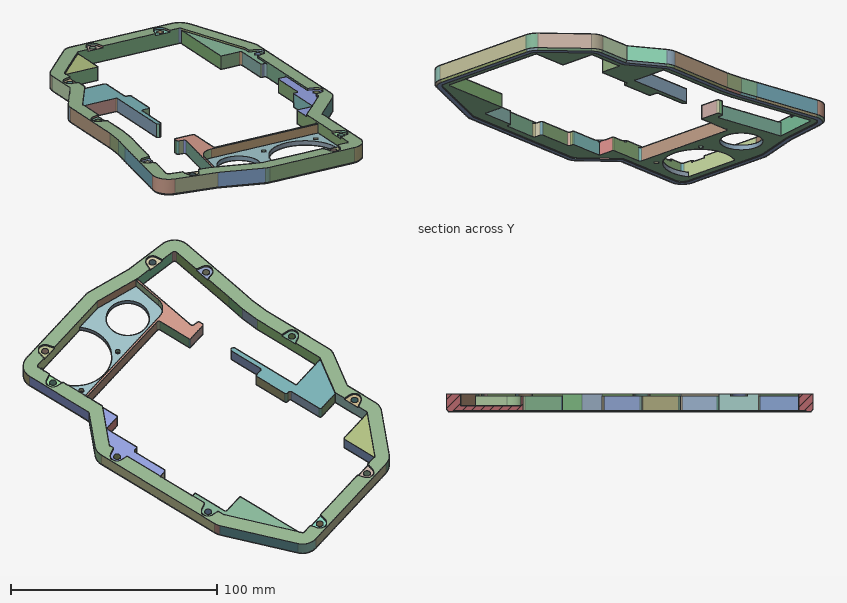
import cadquery as cq
import math

LENGTH = 177.85
WIDTH = 126.75
HEIGHT = 8.7

RIM_WIDTH = 7.0
CORNER_RADIUS = 8.0
BOTTOM_CHAMFER = 1.0
UNDERSIDE_RELIEF = 0.6
LIP_WIDTH = RIM_WIDTH / 2
TILT = math.radians(9.8)

LEFT_LOW_Y = 44.6
LEFT_HIGH_Y = 110.1
LOW_LEFT_X = 23.2
LOW_LEFT_Y = 21.4
STEP_X = 43.4
LOWER_X = 62.0
LOWER_Y = 9.0
BEND_START_X = 101.86
BEND_STEP = 9.19
BEND_FIRST_DROP = 0.85
TOP_LEFT_X = 43.3
TOP_RIGHT_X = 116.8
SHOULDER_X = 133.8
SHOULDER_Y = 109.75
RIGHT_LOW_Y = 52.7
ELBOW_Y = 29.1

INNER_LEFT = RIM_WIDTH
INNER_TOP = WIDTH - RIM_WIDTH
INNER_SHOULDER = SHOULDER_Y - RIM_WIDTH

LEDGE_DROP = 1.0
LEDGE_Z = HEIGHT - LEDGE_DROP
COLUMN_PITCH = 19.1
STEP_SHIFT = 0.4
INNER_RADIUS = 1.0
OUTER_RADIUS = 0.5

TOP_LEFT_LEDGE_Y = 105.6
TOP_STRIP_Y = 117.05
TOP_SHELF_Y = 114.8
TOP_SHELF_LOW_Y = 111.9
LOW_LEFT_LEDGE_Y = 47.6
LOW_LEDGE_Y = 40.1
LOW_LEDGE_HIGH_Y = 42.9
TONGUE_TOP_Y = 38.0
TONGUE_THICKNESS = 2.5
TONGUE_BEVEL = 1.1
HOOK_TOP_Y = 44.6
HOOK_BOTTOM_Y = 33.3
HOOK_INSIDE_X = 125.6
HOOK_INSIDE_Y = 37.4

FLOOR_Z = 3.0
RECESS_WALL = 1.05
RECESS_CORNER_RADIUS = 8.0
LARGE_HOLE_DIAMETER = 35.4
LARGE_HOLE_CENTRE = (162.0, 83.4)
SMALL_HOLE_DIAMETER = 21.0
SMALL_HOLE_CENTRE = (155.6, 49.6)
PIN_HOLE_DIAMETER = 2.4
PIN_HOLE_OFFSET = 14.7

SCREW_HOLE_DIAMETER = 3.3
SCREW_HOLE_DEPTH = 5.0
SCREW_INSET = 4.35
SEAT_RADIUS = 3.3
SEAT_FLARE = math.radians(15)
SEAT_REACH = RIM_WIDTH - SCREW_INSET

TIP_RADIUS = 8.5
TIP_X = 165.1
TIP_Y = TIP_RADIUS * (1 - math.cos(TILT) - math.sin(TILT))


def column(count):
    """X of the grid line `count` columns from the inner left edge."""
    return INNER_LEFT + count * COLUMN_PITCH


def toward(start, end, distance):
    """Point at `distance` from start on the line to end."""
    length = math.dist(start, end)
    return tuple(s + (e - s) * distance / length for s, e in zip(start, end))


def rounded_outline(corners):
    """Closed wire through (x, y, radius) corners; radius 0 leaves a corner sharp."""
    wire = None
    for index, (x, y, radius) in enumerate(corners):
        corner = (x, y)
        before = corners[index - 1][:2]
        after = corners[(index + 1) % len(corners)][:2]
        angle_in = math.atan2(y - before[1], x - before[0])
        angle_out = math.atan2(after[1] - y, after[0] - x)
        turn = math.remainder(angle_out - angle_in, 2 * math.pi)
        setback = radius * math.tan(abs(turn) / 2)
        start = toward(corner, before, setback)
        end = toward(corner, after, setback)
        wire = wire.lineTo(*start) if wire else cq.Workplane("XY").moveTo(*start)
        if radius:
            middle = ((start[0] + end[0]) / 2, (start[1] + end[1]) / 2)
            bulge = radius / math.cos(turn / 2) - radius
            wire = wire.threePointArc(toward(corner, middle, bulge), end)
    return wire.close()


def rim_outline():
    bend_middle_x = BEND_START_X + BEND_STEP
    bend_end_x = bend_middle_x + BEND_STEP
    bend_end_y = TIP_Y + (TIP_X - bend_end_x) * math.tan(TILT)
    elbow_x = TIP_X + (ELBOW_Y - TIP_Y) * math.tan(TILT)
    return rounded_outline([
        (0, LEFT_LOW_Y, CORNER_RADIUS),
        (LOW_LEFT_X, LOW_LEFT_Y, CORNER_RADIUS),
        (STEP_X, LOW_LEFT_Y, 0),
        (LOWER_X, LOWER_Y, CORNER_RADIUS),
        (BEND_START_X, LOWER_Y, 0),
        (bend_middle_x, LOWER_Y - BEND_FIRST_DROP, 0),
        (bend_end_x, bend_end_y, 0),
        (TIP_X, TIP_Y, TIP_RADIUS),
        (elbow_x, ELBOW_Y, 0),
        (LENGTH, RIGHT_LOW_Y, CORNER_RADIUS),
        (LENGTH, SHOULDER_Y, CORNER_RADIUS),
        (SHOULDER_X, SHOULDER_Y, 0),
        (TOP_RIGHT_X, WIDTH, CORNER_RADIUS),
        (TOP_LEFT_X, WIDTH, CORNER_RADIUS),
        (0, LEFT_HIGH_Y, CORNER_RADIUS),
    ])


def inside_rim(margin=RIM_WIDTH):
    """Full-height block filling the space that lies `margin` inside the outer edge."""
    return rim_outline().offset2D(-margin, "intersection").extrude(HEIGHT)


def hook_edge_y(x):
    """Y of the tilted lower edge of the right hand ledge."""
    return HOOK_INSIDE_Y - (x - HOOK_INSIDE_X) * math.tan(TILT)


def window():
    """Through opening that leaves the ledges; it runs under the rim where it meets it."""
    hook_tip_x = HOOK_INSIDE_X - (HOOK_INSIDE_Y - HOOK_BOTTOM_Y) * math.tan(TILT)
    tongue_bottom_y = TONGUE_TOP_Y - TONGUE_THICKNESS
    tongue_shoulder_x = column(5) - TONGUE_BEVEL
    outline = rounded_outline([
        (0, TOP_LEFT_LEDGE_Y, 0),
        (column(2), TOP_LEFT_LEDGE_Y, 0),
        (column(2), TOP_STRIP_Y, INNER_RADIUS),
        (column(3) - STEP_SHIFT, TOP_STRIP_Y, OUTER_RADIUS),
        (column(3) - STEP_SHIFT, INNER_TOP, INNER_RADIUS),
        (column(4), INNER_TOP, INNER_RADIUS),
        (column(4), TOP_SHELF_Y, INNER_RADIUS),
        (column(5) + STEP_SHIFT, TOP_SHELF_Y, INNER_RADIUS),
        (column(5) + STEP_SHIFT, TOP_SHELF_LOW_Y, OUTER_RADIUS),
        (column(6), TOP_SHELF_LOW_Y, 0),
        (column(6), INNER_SHOULDER, OUTER_RADIUS),
        (column(7), INNER_SHOULDER, INNER_RADIUS),
        (column(7), HOOK_TOP_Y, INNER_RADIUS),
        (column(6), HOOK_TOP_Y, OUTER_RADIUS),
        (column(6), HOOK_BOTTOM_Y, INNER_RADIUS),
        (hook_tip_x, HOOK_BOTTOM_Y, INNER_RADIUS),
        (HOOK_INSIDE_X, HOOK_INSIDE_Y, INNER_RADIUS),
        (LENGTH, hook_edge_y(LENGTH), 0),
        (LENGTH, TIP_Y, 0),
        (column(3) - STEP_SHIFT, TIP_Y, 0),
        (column(3) - STEP_SHIFT, tongue_bottom_y, OUTER_RADIUS),
        (tongue_shoulder_x, tongue_bottom_y, 0),
        (column(5), tongue_bottom_y + TONGUE_BEVEL, 0),
        (column(5), TONGUE_TOP_Y - TONGUE_BEVEL, 0),
        (tongue_shoulder_x, TONGUE_TOP_Y, 0),
        (column(4) - STEP_SHIFT, TONGUE_TOP_Y, INNER_RADIUS),
        (column(4) - STEP_SHIFT, LOW_LEDGE_HIGH_Y, OUTER_RADIUS),
        (column(3), LOW_LEDGE_HIGH_Y, INNER_RADIUS),
        (column(3), LOW_LEDGE_Y, INNER_RADIUS),
        (column(2) + STEP_SHIFT, LOW_LEDGE_Y, INNER_RADIUS),
        (column(2) + STEP_SHIFT, LOW_LEFT_Y, 0),
        (column(1), LOW_LEFT_Y, 0),
        (column(1), LOW_LEFT_LEDGE_Y, OUTER_RADIUS),
        (0, LOW_LEFT_LEDGE_Y, 0),
    ])
    return outline.extrude(HEIGHT).intersect(inside_rim())


def recess():
    """Pocket in the right hand ledge, bounded by the rim and two thin walls."""
    left = column(7) + RECESS_WALL
    wall_rise = RECESS_WALL / math.cos(TILT)
    outline = rounded_outline([
        (left, WIDTH, 0),
        (left, hook_edge_y(left) + wall_rise, RECESS_CORNER_RADIUS),
        (LENGTH, hook_edge_y(LENGTH) + wall_rise, 0),
        (LENGTH, WIDTH, 0),
    ])
    return outline.extrude(HEIGHT).intersect(inside_rim()).translate((0, 0, FLOOR_Z))


def floor_holes():
    centre_x, centre_y = LARGE_HOLE_CENTRE
    pin_x = centre_x - PIN_HOLE_OFFSET
    pins = [(pin_x, centre_y + PIN_HOLE_OFFSET), (pin_x, centre_y - PIN_HOLE_OFFSET)]
    plane = cq.Workplane("XY")
    holes = plane.pushPoints([LARGE_HOLE_CENTRE]).circle(LARGE_HOLE_DIAMETER / 2).extrude(FLOOR_Z)
    holes = holes.union(plane.pushPoints([SMALL_HOLE_CENTRE]).circle(SMALL_HOLE_DIAMETER / 2).extrude(FLOOR_Z))
    holes = holes.union(plane.pushPoints(pins).circle(PIN_HOLE_DIAMETER / 2).extrude(FLOOR_Z))
    return holes.intersect(inside_rim())


def screw_seat():
    """Seat and screw hole at the origin of the top face, opening toward -Y."""
    tangent_x = SEAT_RADIUS * math.cos(SEAT_FLARE)
    tangent_y = SEAT_RADIUS * math.sin(SEAT_FLARE)
    mouth_x = tangent_x + (SEAT_REACH + tangent_y) * math.tan(SEAT_FLARE)
    seat = (
        cq.Workplane("XY")
        .moveTo(-mouth_x, -SEAT_REACH)
        .lineTo(mouth_x, -SEAT_REACH)
        .lineTo(tangent_x, tangent_y)
        .threePointArc((0, SEAT_RADIUS), (-tangent_x, tangent_y))
        .close()
        .extrude(LEDGE_DROP)
    )
    hole = cq.Workplane("XY").circle(SCREW_HOLE_DIAMETER / 2).extrude(-SCREW_HOLE_DEPTH)
    return seat.union(hole)


def screw_places():
    """Edge point of every screw and the outward direction of that edge in degrees."""
    tilt = math.degrees(TILT)
    along_low = 26.5
    along_right = 19.2
    low_x = TIP_X - along_low * math.cos(TILT)
    low_y = TIP_Y + along_low * math.sin(TILT)
    right_x = TIP_X + along_right * math.sin(TILT)
    right_y = TIP_Y + along_right * math.cos(TILT)
    return [
        (52.0, WIDTH, 90),
        (107.3, WIDTH, 90),
        (159.0, SHOULDER_Y, 90),
        (LENGTH, 92.5, 0),
        (right_x, right_y, -tilt),
        (low_x, low_y, -90 - tilt),
        (83.2, LOWER_Y, -90),
        (35.8, LOW_LEFT_Y, -90),
        (0, 57.5, 180),
        (0, 95.6, 180),
    ]


def build():
    body = rim_outline().extrude(HEIGHT).faces("<Z").chamfer(BOTTOM_CHAMFER)
    body = body.cut(inside_rim().translate((0, 0, LEDGE_Z)))
    body = body.cut(inside_rim(LIP_WIDTH).translate((0, 0, UNDERSIDE_RELIEF - HEIGHT)))
    body = body.cut(window()).cut(recess()).cut(floor_holes())
    for x, y, direction in screw_places():
        seat = screw_seat().translate((0, -SCREW_INSET, LEDGE_Z))
        seat = seat.rotate((0, 0, 0), (0, 0, 1), direction - 90)
        body = body.cut(seat.translate((x, y, 0)))
    return body


result = build()